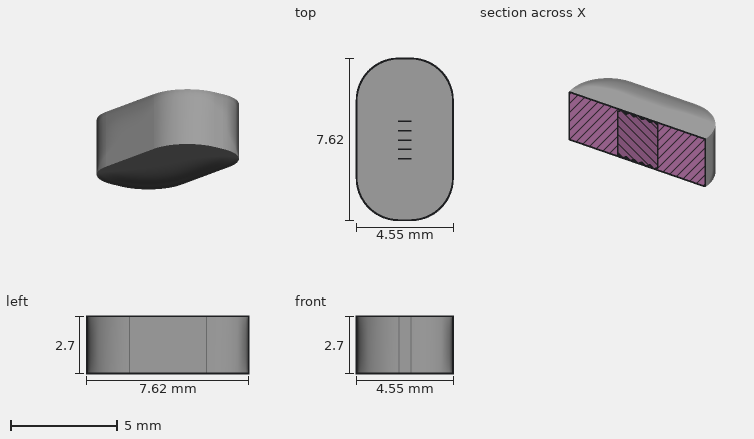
import cadquery as cq

width = 4.546
length = 7.62
height = 2.7
corner_radius = 2.0

ridge_count = 5
ridge_pitch = 0.44
ridge_depth = 0.15
core_cover = 0.014
core_offset_y = -0.035
crest_radius = height / 2 - core_cover
root_radius = crest_radius - ridge_depth
core_length = ridge_count * ridge_pitch


def make_core():
    """Revolve a zigzag half-profile about Y: one pointed crest per ridge."""
    start_y = core_offset_y - core_length / 2
    profile = cq.Workplane("XY").moveTo(0, start_y).lineTo(root_radius, start_y)
    for ridge in range(ridge_count):
        ridge_start_y = start_y + ridge * ridge_pitch
        profile = profile.lineTo(crest_radius, ridge_start_y + ridge_pitch / 2)
        profile = profile.lineTo(root_radius, ridge_start_y + ridge_pitch)
    profile = profile.lineTo(0, start_y + core_length).close()
    return profile.revolve(360, (0, 0, 0), (0, 1, 0))


def make_housing(core):
    """Rounded block with a cavity that matches the core."""
    block = cq.Workplane("XY").box(width, length, height)
    block = block.edges("|Z").fillet(corner_radius)
    return block.cut(core)


core = make_core()
housing = make_housing(core)

result = cq.Compound.makeCompound([housing.val(), core.val()])